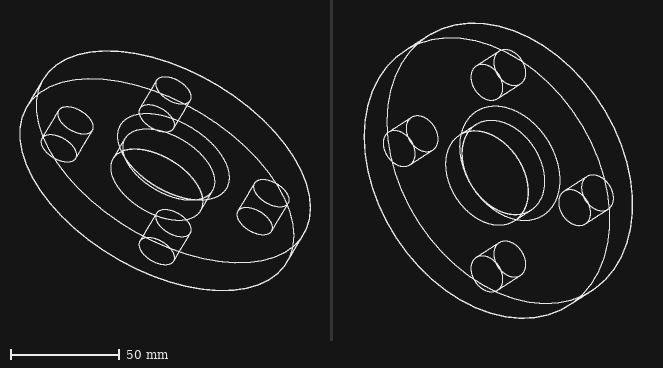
import cadquery as cq

outer_diameter = 140.0
thickness = 18.0
bore_diameter = 47.0
bore_chamfer = 5.0
bolt_circle_diameter = 100.0
bolt_hole_diameter = 18.0
bolt_hole_count = 4

ring = (
    cq.Workplane("XZ", origin=(0, thickness / 2, 0))
    .circle(outer_diameter / 2)
    .circle(bore_diameter / 2)
    .extrude(thickness)
)

bore_rim = cq.selectors.RadiusNthSelector(0)
chamfered_ring = ring.faces(">Y").edges(bore_rim).chamfer(bore_chamfer)

result = (
    chamfered_ring.faces("<Y")
    .workplane(origin=(0, 0, 0))
    .polarArray(bolt_circle_diameter / 2, 0, 360, bolt_hole_count)
    .hole(bolt_hole_diameter)
)